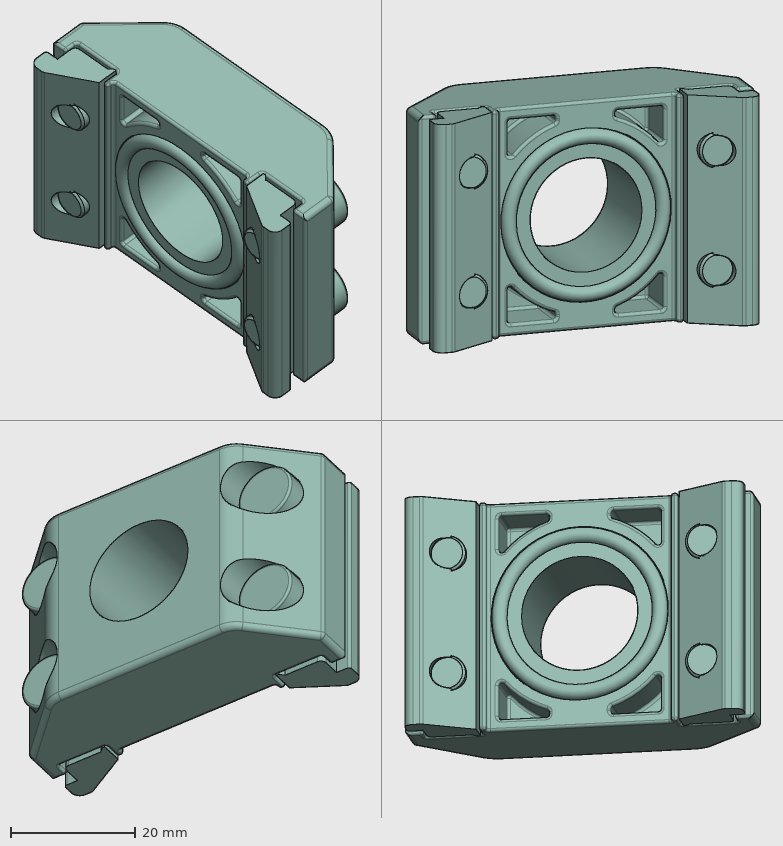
import cadquery as cq
import math


WIDTH = 57
LENGTH = 38.0
TOTAL_DEPTH = 23.4
BACK_Y = 17.0
SHOULDER_Y = 6.15
BACK_CORNER_RADIUS = 5.0
OUTER_ROUND = 1.0
SMALL_ROUND = 0.5
BORE_DIAMETER = 19.0

CHANNEL_OUTER_X = 25.5
CHANNEL_INNER_X = 16.25
CHANNEL_ROOF_Y = 2.15
LEG_END_Y = -0.4
LIP_WIDTH = 1.15
LIP_END_Y = -1.25

RING_CENTRE_RADIUS = 13.1
RING_SECTION_RADIUS = 1.25
RING_PROTRUSION = 1.1
GROOVE_OUTER_RADIUS = 14.5

POCKET_OUTER_X = 13.3
POCKET_OUTER_Z = 17.0
POCKET_INNER_X = 5.0
POCKET_ARC_RADIUS = 16.6
POCKET_DEPTH = 8
POCKET_FLOOR_ROUND = 0.51

SCREW_X = 21.0
SCREW_Z = 10.0
HEAD_DIAMETER = 10.15
HEAD_TOP_Y = 12.0
HEAD_HEIGHT = 6.0
HEAD_ROUND = 0.4
SHANK_DIAMETER = 6.0
SHANK_TIP_Y = -4.1
TIP_CHAMFER = 0.4
COUNTERBORE_DIAMETER = 10.4

JAW_INNER_X = 16.6
JAW_OUTER_X = 27.65
JAW_WAIST_X = 25.1
JAW_RIDGE_X = 17.1
JAW_RIDGE_Y = 2.1
JAW_SHOULDER_Y = 1.35
JAW_STEP_Y = -2.7
JAW_SLOPE_TOP_Y = -1.75
JAW_SLOPE_ANGLE = 30
JAW_BULGE_RADIUS = 1.6
JAW_TOE_RADIUS = 1.15
JAW_SHOULDER_RADIUS = 1.0
JAW_STEP_RADIUS = 0.5
JAW_CORE_DIAMETER = 5.0

NEAR = 0.05

HALF_WIDTH = WIDTH / 2
HALF_LENGTH = LENGTH / 2
JAW_BOTTOM_Y = BACK_Y - TOTAL_DEPTH
SEAT_Y = HEAD_TOP_Y - HEAD_HEIGHT
LIP_INNER_X = CHANNEL_INNER_X - LIP_WIDTH
SCREW_PLACES = [(x, z) for x in (-SCREW_X, SCREW_X) for z in (-SCREW_Z, SCREW_Z)]


def cylinder_y(diameter, start_y, end_y, x=0, z=0):
    """Cylinder along +Y from start_y to end_y."""
    return cq.Workplane(
        cq.Solid.makeCylinder(diameter / 2, end_y - start_y, cq.Vector(x, start_y, z), cq.Vector(0, 1, 0))
    )


def along_z(points):
    """Prism over the housing length from an outline in X and Y."""
    return cq.Workplane("XY").polyline(points).close().extrude(HALF_LENGTH, both=True)


def round_long_edges(body, radius, corners):
    """Round the edges parallel to Z that pass through the given (x, y) corners."""
    for x, y in corners:
        edge = cq.selectors.BoxSelector(
            (x - NEAR, y - NEAR, -HALF_LENGTH), (x + NEAR, y + NEAR, HALF_LENGTH)
        )
        body = body.edges("|Z").edges(edge).fillet(radius)
    return body


def both_sides(points):
    """The given (x, y) points and their mirror images in X."""
    return points + [(-x, y) for x, y in points]


def make_shell():
    """Outside of the housing with the rounded flanks and ends, without its front."""
    back_half_width = HALF_WIDTH - (BACK_Y - SHOULDER_Y)
    front_y = LIP_END_Y - OUTER_ROUND
    shoulders = [(HALF_WIDTH, SHOULDER_Y), (-HALF_WIDTH, SHOULDER_Y)]
    back_corners = [(-back_half_width, BACK_Y), (back_half_width, BACK_Y)]
    front_corners = [(-HALF_WIDTH, front_y), (HALF_WIDTH, front_y)]
    shell = along_z([shoulders[0], back_corners[1], back_corners[0], shoulders[1], *front_corners])
    shell = round_long_edges(shell, BACK_CORNER_RADIUS, back_corners)
    shell = round_long_edges(shell, OUTER_ROUND, shoulders)
    return shell.faces("|Z").edges("not(<Y)").fillet(OUTER_ROUND)


def make_front():
    """Block with the stepped and rounded front: legs, channels, lips and contact face."""
    leg_corners = [(HALF_WIDTH, LEG_END_Y), (CHANNEL_OUTER_X, LEG_END_Y)]
    channel_corners = [(CHANNEL_OUTER_X, CHANNEL_ROOF_Y), (CHANNEL_INNER_X, CHANNEL_ROOF_Y)]
    lip_corners = [(CHANNEL_INNER_X, LIP_END_Y), (LIP_INNER_X, LIP_END_Y), (LIP_INNER_X, 0)]
    corners = leg_corners + channel_corners + lip_corners
    mirrored = [(-x, y) for x, y in reversed(corners)]
    front = along_z([(HALF_WIDTH, BACK_Y), *corners, *mirrored, (-HALF_WIDTH, BACK_Y)])
    front = round_long_edges(front, SMALL_ROUND, both_sides(corners))
    stepped_outline = cq.selectors.BoxSelector(
        (-HALF_WIDTH + NEAR, LIP_END_Y - NEAR, -LENGTH), (HALF_WIDTH - NEAR, BACK_Y - NEAR, LENGTH)
    )
    return front.faces("|Z").edges(stepped_outline).fillet(SMALL_ROUND)


def make_pocket(sign_x, sign_z):
    """Cutter for one corner pocket: straight walls and one wall concentric with the bore."""
    end_x = POCKET_INNER_X
    end_z = math.sqrt(POCKET_ARC_RADIUS**2 - end_x**2)
    tip_x = POCKET_OUTER_X
    tip_z = math.sqrt(POCKET_ARC_RADIUS**2 - tip_x**2)
    mid_angle = (math.atan2(end_z, end_x) + math.atan2(tip_z, tip_x)) / 2
    mid_x = POCKET_ARC_RADIUS * math.cos(mid_angle)
    mid_z = POCKET_ARC_RADIUS * math.sin(mid_angle)
    pocket = (
        cq.Workplane("XZ")
        .moveTo(sign_x * tip_x, sign_z * tip_z)
        .lineTo(sign_x * tip_x, sign_z * POCKET_OUTER_Z)
        .lineTo(sign_x * end_x, sign_z * POCKET_OUTER_Z)
        .lineTo(sign_x * end_x, sign_z * end_z)
        .threePointArc((sign_x * mid_x, sign_z * mid_z), (sign_x * tip_x, sign_z * tip_z))
        .close()
        .extrude(-POCKET_DEPTH)
    )
    pocket = pocket.edges("|Y").fillet(SMALL_ROUND)
    return pocket.faces(">Y").edges().fillet(POCKET_FLOOR_ROUND)


def make_housing():
    """Housing with its pockets, bore, ring groove and counterbored screw holes."""
    housing = make_shell().intersect(make_front())
    for sign_x in (-1, 1):
        for sign_z in (-1, 1):
            housing = housing.cut(make_pocket(sign_x, sign_z))
            pocket_rim = cq.selectors.BoxSelector(
                (0, -NEAR, 0),
                (sign_x * (POCKET_OUTER_X + NEAR), NEAR, sign_z * (POCKET_OUTER_Z + NEAR)),
            )
            housing = housing.edges(pocket_rim).fillet(SMALL_ROUND)
    groove_floor_y = 2 * RING_SECTION_RADIUS - RING_PROTRUSION
    groove = cylinder_y(2 * GROOVE_OUTER_RADIUS, LIP_END_Y, groove_floor_y)
    groove_inner_radius = RING_CENTRE_RADIUS - RING_SECTION_RADIUS
    housing = housing.cut(groove.cut(cylinder_y(2 * groove_inner_radius, LIP_END_Y, groove_floor_y)))
    housing = housing.cut(cylinder_y(BORE_DIAMETER, LIP_END_Y, BACK_Y))
    for x, z in SCREW_PLACES:
        housing = housing.cut(cylinder_y(COUNTERBORE_DIAMETER, SEAT_Y, BACK_Y, x, z))
        housing = housing.cut(cylinder_y(SHANK_DIAMETER, LIP_END_Y, BACK_Y, x, z))
    return housing


def make_ring():
    """Sealing ring of round section, lying in the groove and standing proud of the contact face."""
    centre = cq.Vector(0, RING_SECTION_RADIUS - RING_PROTRUSION, 0)
    axis = cq.Vector(0, 1, 0)
    return cq.Workplane(cq.Solid.makeTorus(RING_CENTRE_RADIUS, RING_SECTION_RADIUS, centre, axis))


def make_screw(x, z):
    """Screw with a cylindrical head and a chamfered tip."""
    head = cylinder_y(HEAD_DIAMETER, SEAT_Y, HEAD_TOP_Y, x, z).faces(">Y").edges().fillet(HEAD_ROUND)
    shank = cylinder_y(SHANK_DIAMETER, SHANK_TIP_Y, SEAT_Y, x, z).faces("<Y").edges().chamfer(TIP_CHAMFER)
    return head.union(shank)


def make_jaw(side):
    """Clamping jaw on the given side of X, with holes filled by its two screws."""
    slope = math.tan(math.radians(JAW_SLOPE_ANGLE))
    toe_x = JAW_INNER_X + (JAW_SLOPE_TOP_Y - JAW_BOTTOM_Y) / slope
    ridge_foot_x = JAW_RIDGE_X + JAW_RIDGE_Y - JAW_SHOULDER_Y
    toe = (side * toe_x, JAW_BOTTOM_Y)
    bulge = (side * JAW_OUTER_X, JAW_BOTTOM_Y)
    step = (side * JAW_OUTER_X, JAW_STEP_Y)
    shoulder = (side * JAW_WAIST_X, JAW_SHOULDER_Y)
    jaw = along_z([
        (side * JAW_INNER_X, JAW_RIDGE_Y),
        (side * JAW_INNER_X, JAW_SLOPE_TOP_Y),
        toe,
        bulge,
        step,
        (side * JAW_WAIST_X, JAW_STEP_Y),
        shoulder,
        (side * ridge_foot_x, JAW_SHOULDER_Y),
        (side * JAW_RIDGE_X, JAW_RIDGE_Y),
    ])
    jaw = round_long_edges(jaw, JAW_TOE_RADIUS, [toe])
    jaw = round_long_edges(jaw, JAW_BULGE_RADIUS, [bulge])
    jaw = round_long_edges(jaw, JAW_STEP_RADIUS, [step])
    jaw = round_long_edges(jaw, JAW_SHOULDER_RADIUS, [shoulder])
    for x, z in SCREW_PLACES:
        if x * side > 0:
            jaw = jaw.cut(make_screw(x, z))
            jaw = jaw.cut(cylinder_y(JAW_CORE_DIAMETER, JAW_BOTTOM_Y, JAW_RIDGE_Y, x, z))
    return jaw


housing = make_housing()
ring = make_ring()
jaws = [make_jaw(side) for side in (-1, 1)]
screws = [make_screw(x, z) for x, z in SCREW_PLACES]

result = cq.Compound.makeCompound(
    [housing.val(), ring.val(), *[jaw.val() for jaw in jaws], *[screw.val() for screw in screws]]
)